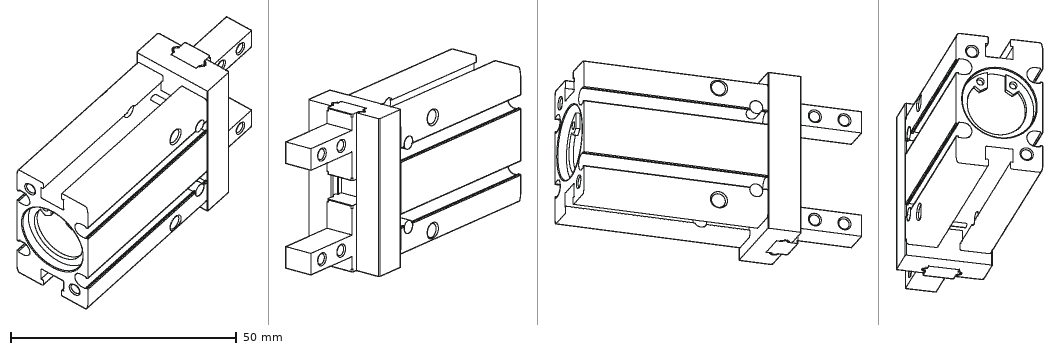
import cadquery as cq


total_length = 67.4
width = 20.0
head_height = 37.4
body_height = 31.95
body_length = 43.2
head_end = 51.0
head_edge_chamfer = 0.2

corner_bulge_height = 2.0
corner_bulge_inset = 0.3
corner_round_height = 0.4
corner_round_inset = 0.8

t_slot_floor = 11.05
t_slot_width = 6.35
t_slot_lip = 1.75
t_mouth_width = 5.05
t_mouth_round = 0.4
t_lip_round = 0.3
t_floor_round = 0.3

groove_diameter = 3.8
groove_center_x = 8.2
groove_center_z = 7.8
groove_lip_x = 9.45
groove_corner_round = 0.2
groove_mouth = 3.0
groove_mouth_chamfer = 0.2

pin_diameter = 3.0
pin_y = 40.45
pin_z = 10.0
pin_recess = 0.1

mount_diameter = 3.25
mount_rim_diameter = 4.0
mount_y = 31.7
mount_z = 13.5

screw_diameter = 2.4
screw_rim_diameter = 3.0
screw_x = 6.3
screw_z = 11.85
screw_depth = 8.1

bore_diameter = 17.0
bore_chamfer = 0.2
ring_front = 2.2
ring_thickness = 1.0
ring_inner_diameter = 13.6
ring_gap = 4.25
lug_corner_z = 4.5
lug_hole_diameter = 1.7
lug_hole_x = 3.8
lug_hole_z = 5.8
lug_point_z = 3.5
lug_outer_x = 5.05

finger_width = 7.1
slot_floor = 47.4
ridge_y = 49.35
groove_depth = 1.0
groove_flat = 0.35
groove_tip_height = 0.55
end_ridge_depth = 0.8
foot_end = 52.5
foot_length = 15.8
foot_end_chamfer = 0.15
foot_corner_chamfer = 0.35
foot_relief_height = 0.7
arm_bottom = 9.85
arm_height = 5.1
arm_hole_z = 12.4
arm_hole_diameter = 2.4
arm_hole_rim_diameter = 3.0
arm_hole_ys = (56.4, 63.35)

half_width = width / 2
half_body = body_height / 2
SIDES = (-1, 1)


def extrude_y(sketch, start, end):
    """Extrude a closed outline drawn as (x, z) from Y = start to Y = end."""
    return sketch.extrude(start - end).translate((0, start, 0))


def rod_y(diameter, x, z, start, end):
    return cq.Workplane("XZ", origin=(x, start, z)).circle(diameter / 2).extrude(start - end)


def rod_x(diameter, y, z, start, end):
    return cq.Workplane("YZ", origin=(start, y, z)).circle(diameter / 2).extrude(end - start)


def rim_cone(small, large, plane, origin):
    """Countersink that opens from the small to the large diameter at the origin."""
    depth = (large - small) / 2
    return cq.Workplane(plane, origin=origin).circle(large / 2).extrude(depth, taper=45)


def body_block():
    round_x = half_width - corner_round_inset
    bulge_x = half_width - corner_bulge_inset
    round_z = half_body - corner_round_height
    bulge_z = half_body - corner_bulge_height
    quarter = cq.Workplane("XZ").moveTo(0, 0).lineTo(half_width, 0).lineTo(half_width, bulge_z)
    quarter = quarter.tangentArcPoint((bulge_x, round_z), relative=False)
    quarter = quarter.tangentArcPoint((round_x, half_body), relative=False)
    quarter = quarter.lineTo(0, half_body).close()
    half = extrude_y(quarter, 0, body_length)
    half = half.union(half.mirror("YZ"))
    return half.union(half.mirror("XY"))


def head_block():
    depth = head_end - body_length
    head = cq.Workplane("XY").box(width, depth, head_height)
    head = head.edges("|Z").chamfer(head_edge_chamfer)
    return head.translate((0, body_length + depth / 2, 0))


def t_slot():
    half_slot = t_slot_width / 2
    half_mouth = t_mouth_width / 2
    lip_z = half_body - t_slot_lip
    half = cq.Workplane("XZ").moveTo(0, t_slot_floor).lineTo(half_slot - t_floor_round, t_slot_floor)
    half = half.tangentArcPoint((half_slot, t_slot_floor + t_floor_round), relative=False)
    half = half.lineTo(half_slot, lip_z).lineTo(half_mouth + t_lip_round, lip_z)
    half = half.tangentArcPoint((half_mouth, lip_z + t_lip_round), relative=False)
    half = half.lineTo(half_mouth, half_body - t_mouth_round)
    half = half.tangentArcPoint((half_mouth + t_mouth_round, half_body), relative=False)
    half = extrude_y(half.lineTo(0, half_body).close(), 0, body_length)
    return half.union(half.mirror("YZ"))


def sensor_groove():
    """Groove on the +X side above the middle plane: a round channel behind a narrower mouth."""
    channel = rod_y(groove_diameter, groove_center_x, groove_center_z, 0, body_length)
    straight = cq.Workplane("XY").box(
        groove_lip_x - groove_center_x, body_length, groove_diameter, centered=(False, False, True)
    )
    straight = straight.edges("|Y and >X").fillet(groove_corner_round)
    channel = channel.union(straight.translate((groove_center_x, 0, groove_center_z)))
    half_mouth = groove_mouth / 2
    half_flare = half_mouth + groove_mouth_chamfer
    flare_x = half_width - groove_mouth_chamfer
    mouth = cq.Workplane("XZ").polyline([
        (groove_center_x, half_mouth),
        (flare_x, half_mouth),
        (half_width, half_flare),
        (half_width, -half_flare),
        (flare_x, -half_mouth),
        (groove_center_x, -half_mouth),
    ]).close()
    return channel.union(extrude_y(mouth, 0, body_length).translate((0, 0, groove_center_z)))


def mounting_hole(z):
    hole = rod_x(mount_diameter, mount_y, z, -half_width, half_width)
    left = rim_cone(mount_diameter, mount_rim_diameter, "YZ", (-half_width, mount_y, z))
    return hole.union(left).union(left.mirror("YZ"))


def screw_hole(x, z):
    hole = rod_y(screw_diameter, x, z, 0, screw_depth)
    return hole.union(rim_cone(screw_diameter, screw_rim_diameter, "ZX", (x, 0, z)))


def bore():
    hole = rod_y(bore_diameter, 0, 0, 0, ring_front + ring_thickness)
    return hole.union(rim_cone(bore_diameter, bore_diameter + 2 * bore_chamfer, "ZX", (0, 0, 0)))


def retaining_ring():
    start = ring_front
    end = ring_front + ring_thickness
    ring = rod_y(bore_diameter, 0, 0, start, end).cut(rod_y(ring_inner_diameter, 0, 0, start, end))
    gap_corner = ring_gap / 2
    gap = cq.Workplane("XZ").rect(ring_gap, bore_diameter)
    gap = extrude_y(gap, start, end).translate((0, 0, bore_diameter / 2))
    ring = ring.cut(gap)
    bore_limit = rod_y(bore_diameter, 0, 0, start, end)
    for side in SIDES:
        lug = cq.Workplane("XZ").polyline([
            (side * gap_corner, bore_diameter / 2),
            (side * gap_corner, lug_corner_z),
            (side * lug_hole_x, lug_point_z),
            (side * lug_outer_x, lug_corner_z),
            (side * lug_outer_x, bore_diameter / 2),
        ]).close()
        lug = extrude_y(lug, start, end).intersect(bore_limit)
        ring = ring.union(lug).cut(rod_y(lug_hole_diameter, side * lug_hole_x, lug_hole_z, start, end))
    return ring


def mirrored_outline(right):
    """Closed outline in (x, y) from the points of its +X half."""
    left = [(-x, y) for x, y in reversed(right)]
    return cq.Workplane("XY").polyline(right + left).close()


def full_guide(top):
    """Guide outline that fills the head slot, with a blunt ridge along each side."""
    half = finger_width / 2
    half_tip = groove_tip_height / 2
    return mirrored_outline([
        (half, slot_floor),
        (half, ridge_y - groove_depth),
        (half + groove_flat, ridge_y - groove_depth),
        (half + groove_depth, ridge_y - half_tip),
        (half + groove_depth, ridge_y + half_tip),
        (half + groove_flat, ridge_y + groove_depth),
        (half, ridge_y + groove_depth),
        (half, top),
    ])


def relieved_guide(top):
    """Smaller guide outline with pointed ridges and cut front corners."""
    half = finger_width / 2
    return mirrored_outline([
        (half, slot_floor),
        (half, ridge_y - end_ridge_depth),
        (half + end_ridge_depth, ridge_y),
        (half, ridge_y + end_ridge_depth),
        (half, top - foot_corner_chamfer),
        (half - foot_corner_chamfer, top),
    ])


def guide_slot():
    slot = full_guide(head_end).extrude(head_height)
    return slot.translate((0, 0, -head_height / 2))


def make_housing():
    housing = body_block().union(head_block())
    pin_end = half_width - pin_recess
    for side in SIDES:
        slots = t_slot().union(sensor_groove()).union(sensor_groove().mirror("YZ"))
        housing = housing.cut(slots if side > 0 else slots.mirror("XY"))
        housing = housing.cut(rod_x(pin_diameter, pin_y, side * pin_z, -half_width, half_width))
        housing = housing.union(rod_x(pin_diameter, pin_y, side * pin_z, -pin_end, pin_end))
        housing = housing.cut(mounting_hole(side * mount_z))
        housing = housing.cut(screw_hole(-side * screw_x, side * screw_z))
    housing = housing.cut(bore()).union(retaining_ring())
    return housing.cut(guide_slot())


def finger_foot():
    """Foot that fills the head slot, relieved over a short height at its two Z ends."""
    middle_height = foot_length - 2 * foot_relief_height
    foot = relieved_guide(foot_end).extrude(foot_length)
    foot = foot.faces(">Y").edges("|X").chamfer(foot_end_chamfer)
    middle = full_guide(foot_end).extrude(middle_height)
    foot = foot.union(middle.translate((0, 0, foot_relief_height)))
    return foot.translate((0, 0, head_height / 2 - foot_length))


def make_finger(side):
    finger = finger_foot()
    arm = cq.Workplane("XY").box(
        finger_width, total_length - foot_end, arm_height, centered=(True, False, False)
    )
    finger = finger.union(arm.translate((0, foot_end, arm_bottom)))
    half = finger_width / 2
    for y in arm_hole_ys:
        rim = rim_cone(arm_hole_diameter, arm_hole_rim_diameter, "YZ", (-half, y, arm_hole_z))
        finger = finger.cut(rod_x(arm_hole_diameter, y, arm_hole_z, -half, half))
        finger = finger.cut(rim).cut(rim.mirror("YZ"))
    return finger if side > 0 else finger.mirror("XY")


housing = make_housing()
fingers = [make_finger(side) for side in SIDES]

result = cq.Compound.makeCompound([housing.solids().val(), *[finger.solids().val() for finger in fingers]])